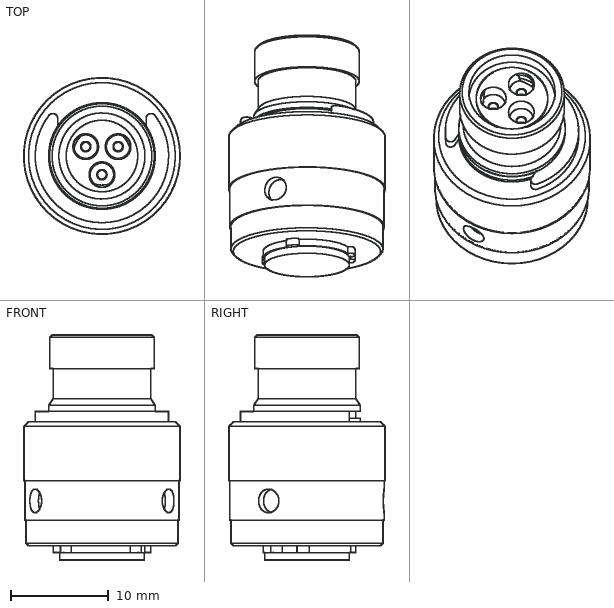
import cadquery as cq
import math

spigot_top = 0.75
body_bottom = 1.45
lower_band_top = 4.08
middle_band_top = 8.12
shoulder_z = 14.15
lip_top = 14.5
ridge_top = 15.2
collar_top = 15.8
flare_top = 16.5
head_bottom = 19.55
total_height = 23.0

spigot_radius = 4.33
tab_root_radius = 4.48
tab_radius = 5.0
lower_band_radius = 7.78
middle_band_radius = 7.9
body_radius = 8.0
neck_radius = 5.0
collar_radius = 5.45
head_radius = 5.35

bottom_chamfer = 0.25
shoulder_chamfer = 0.5
head_chamfer = 0.25

tab_angles = (96, 190, 218, 318, 355)
tab_width = 1.25
tab_corner_radius = 0.25

ridge_radius = 6.82
ridge_gap_half_width = 4.52
ridge_tip_radius = 0.5

socket_radius = 4.4
socket_depth = 1.45
insert_radius = 3.66
insert_height = 0.2
insert_top = total_height - socket_depth + insert_height

contact_circle_radius = 1.91
contact_angles = (30, 150, 270)
contact_mouth_radius = 1.31
contact_throat_radius = 1.2
contact_wall_depth = 1.3
funnel_end_radius = 0.52
funnel_depth = 0.45
pin_hole_radius = 0.45
pin_hole_depth = 1.0

groove_inner_radius = 2.97
groove_depth = 2.0
groove_lip = 0.36

side_hole_angles = (90, 210, 330)
side_hole_diameter = 2.4
side_hole_z = 6.04
side_hole_floor_radius = 6.9


def disk(radius, bottom, top):
    return cq.Workplane("XY").workplane(offset=bottom).circle(radius).extrude(top - bottom)


def ring(outer_radius, inner_radius, bottom, top):
    return disk(outer_radius, bottom, top).cut(disk(inner_radius, bottom, top))


def turned_body():
    outline = [
        (0, 0),
        (spigot_radius, 0),
        (spigot_radius, spigot_top),
        (tab_root_radius, spigot_top),
        (tab_root_radius, body_bottom),
        (lower_band_radius - bottom_chamfer, body_bottom),
        (lower_band_radius, body_bottom + bottom_chamfer),
        (lower_band_radius, lower_band_top),
        (middle_band_radius, lower_band_top),
        (middle_band_radius, middle_band_top),
        (body_radius, middle_band_top),
        (body_radius, shoulder_z - shoulder_chamfer),
        (body_radius - shoulder_chamfer, shoulder_z),
        (collar_radius, shoulder_z),
        (collar_radius, lip_top),
        (neck_radius, lip_top),
        (neck_radius, ridge_top),
        (collar_radius, ridge_top),
        (collar_radius, collar_top),
        (neck_radius, flare_top),
        (neck_radius, head_bottom),
        (head_radius, head_bottom),
        (head_radius, total_height - head_chamfer),
        (head_radius - head_chamfer, total_height),
        (0, total_height),
    ]
    return cq.Workplane("XZ").polyline(outline).close().revolve(360, (0, 0), (0, 1))


def bottom_tab(angle):
    """Radial tab with an outer face on the tab circle and rounded corners."""
    bar = (
        cq.Workplane("XY")
        .workplane(offset=spigot_top)
        .center(tab_radius, 0)
        .rect(tab_radius, tab_width)
        .extrude(body_bottom - spigot_top)
    )
    tab = bar.intersect(disk(tab_radius, spigot_top, body_bottom))
    tab = tab.edges("|Z").edges(">X").fillet(tab_corner_radius)
    return tab.rotate((0, 0, 0), (0, 0, 1), angle)


def crescent_ridge():
    """Raised crescent open toward +Y, each end rounded into the outer arc."""
    tip_center_x = ridge_gap_half_width + ridge_tip_radius
    tip_center_y = math.sqrt((ridge_radius - ridge_tip_radius) ** 2 - tip_center_x ** 2)
    tip_direction = math.atan2(tip_center_y, tip_center_x)
    blend_x = ridge_radius * math.cos(tip_direction)
    blend_y = ridge_radius * math.sin(tip_direction)
    tip_middle = (tip_direction + math.pi) / 2
    tip_x = tip_center_x + ridge_tip_radius * math.cos(tip_middle)
    tip_y = tip_center_y + ridge_tip_radius * math.sin(tip_middle)
    return (
        cq.Workplane("XY")
        .workplane(offset=shoulder_z)
        .moveTo(blend_x, blend_y)
        .threePointArc((tip_x, tip_y), (ridge_gap_half_width, tip_center_y))
        .lineTo(ridge_gap_half_width, 0)
        .lineTo(-ridge_gap_half_width, 0)
        .lineTo(-ridge_gap_half_width, tip_center_y)
        .threePointArc((-tip_x, tip_y), (-blend_x, blend_y))
        .threePointArc((0, -ridge_radius), (blend_x, blend_y))
        .close()
        .extrude(ridge_top - shoulder_z)
    )


def contact_cavity(angle):
    """Slightly tapered bore, then a funnel leading to a small blind pin hole."""
    throat_z = insert_top - contact_wall_depth
    funnel_end_z = throat_z - funnel_depth
    floor_z = funnel_end_z - pin_hole_depth
    outline = [
        (0, insert_top),
        (contact_mouth_radius, insert_top),
        (contact_throat_radius, throat_z),
        (funnel_end_radius, funnel_end_z),
        (pin_hole_radius, funnel_end_z),
        (pin_hole_radius, floor_z),
        (0, floor_z),
    ]
    cavity = cq.Workplane("XZ").polyline(outline).close().revolve(360, (0, 0), (0, 1))
    return cavity.translate((contact_circle_radius, 0, 0)).rotate((0, 0, 0), (0, 0, 1), angle)


def front_socket():
    """Round socket that leaves the contact insert standing proud of its floor."""
    floor_z = total_height - socket_depth
    return disk(socket_radius, floor_z, total_height).cut(disk(insert_radius, floor_z, insert_top))


def insert_groove():
    """Hidden ring groove that breaks into the outer side of each contact cavity."""
    top = insert_top - groove_lip
    bottom = insert_top - groove_depth
    return ring(insert_radius, groove_inner_radius, bottom, top)


def side_hole(angle):
    """Blind radial hole whose floor is a cylinder around the main axis."""
    drill = cq.Workplane("YZ").center(0, side_hole_z).circle(side_hole_diameter / 2).extrude(body_radius)
    core = disk(side_hole_floor_radius, lower_band_top, middle_band_top)
    return drill.cut(core).rotate((0, 0, 0), (0, 0, 1), angle)


result = turned_body().union(crescent_ridge())
for tab_angle in tab_angles:
    result = result.union(bottom_tab(tab_angle))

result = result.cut(front_socket())
for contact_angle in contact_angles:
    result = result.cut(contact_cavity(contact_angle))
result = result.cut(insert_groove())

for hole_angle in side_hole_angles:
    result = result.cut(side_hole(hole_angle))